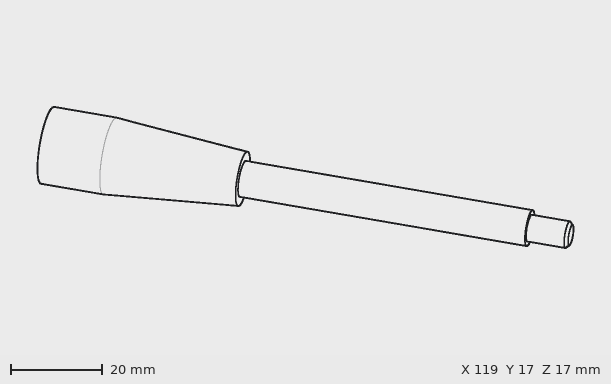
import cadquery as cq

total_length = 119.0
knob_diameter = 17.0
grip_neck_diameter = 12.0
rod_diameter = 8.0
spigot_diameter = 6.0

crown_height = 1.0
knob_end = 15.0
grip_end = 45.0
spigot_length = 9.3
spigot_chamfer = 0.7

knob_radius = knob_diameter / 2
rod_radius = rod_diameter / 2
spigot_radius = spigot_diameter / 2
rod_end = total_length - spigot_length

dome_radius = (knob_radius**2 + crown_height**2) / (2 * crown_height)
arc_mid_radius = knob_radius / 2
arc_mid_x = dome_radius - (dome_radius**2 - arc_mid_radius**2) ** 0.5

half_profile = (
    cq.Workplane("XY")
    .moveTo(0, 0)
    .threePointArc((arc_mid_x, arc_mid_radius), (crown_height, knob_radius))
    .lineTo(knob_end, knob_radius)
    .lineTo(grip_end, grip_neck_diameter / 2)
    .lineTo(grip_end, rod_radius)
    .lineTo(rod_end, rod_radius)
    .lineTo(rod_end, spigot_radius)
    .lineTo(total_length - spigot_chamfer, spigot_radius)
    .lineTo(total_length, spigot_radius - spigot_chamfer)
    .lineTo(total_length, 0)
    .close()
)

result = half_profile.revolve(360, (0, 0, 0), (1, 0, 0))